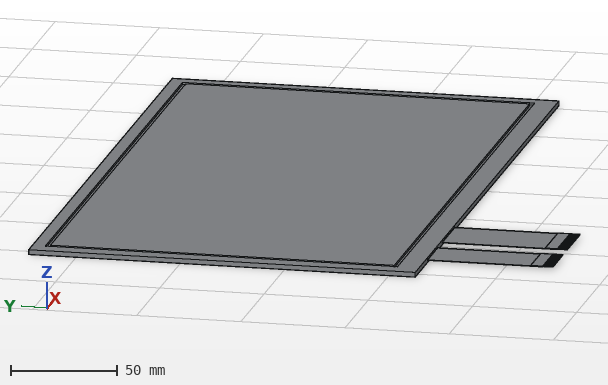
import cadquery as cq

panel_width = 311.2
panel_depth = 185.5
panel_thickness = 2.35

groove_side_left = 8.0
groove_side_right = 6.2
groove_back = 6.2
groove_front = 10.3
groove_width = 2.02
groove_depth = 1.1

overall_depth = 245.5
tail_length = overall_depth - panel_depth
film_top = 1.4
film_thickness = 0.12
cover_thickness = 0.15
stiffener_thickness = 0.2
stiffener_length = 10.5
contact_length = 5.0
contact_thickness = 0.05
contact_pitch = 1.0
film_bottom = film_top - film_thickness

tail_edges = [
    (26.5, 26.8, 48.5),
    (58.2, 58.2, 85.5),
]


def block(x_min, x_max, y_min, y_max, z_min, z_max):
    """Rectangular block between the given limits."""
    size = (x_max - x_min, y_max - y_min, z_max - z_min)
    return cq.Workplane("XY").box(*size, centered=False).translate((x_min, y_min, z_min))


def make_panel():
    """Flat panel with the framing groove cut into its top face."""
    left = groove_side_left
    right = panel_width - groove_side_right
    front = groove_front
    back = panel_depth - groove_back
    floor = panel_thickness - groove_depth
    outer = block(left, right, front, back, floor, panel_thickness)
    island = block(
        left + groove_width,
        right - groove_width,
        front + groove_width,
        back - groove_width,
        floor,
        panel_thickness,
    )
    panel = block(0, panel_width, 0, panel_depth, 0, panel_thickness)
    return panel.cut(outer.cut(island))


def make_contacts(left, right):
    """Row of thin contact fingers under the bare end of a tail."""
    finger_width = contact_pitch / 2
    count = int((right - left) / contact_pitch)
    tip = -tail_length
    center = ((left + right) / 2, tip + contact_length / 2, film_bottom)
    return (
        cq.Workplane("XY", origin=center)
        .rarray(contact_pitch, 3, count, 1)
        .rect(finger_width, contact_length)
        .extrude(-contact_thickness)
    )


def make_tail(root_left, tip_left, right):
    """Film tail with its cover layer, end stiffener and contacts."""
    tip = -tail_length
    outline = [(root_left, 0), (right, 0), (right, tip), (tip_left, tip)]
    bottom = film_bottom - cover_thickness
    tail = cq.Workplane("XY").workplane(offset=bottom).polyline(outline).close()
    tail = tail.extrude(film_top - bottom)
    bare_end = block(root_left, right, tip, tip + contact_length, bottom, film_bottom)
    stiffener_top = film_top + stiffener_thickness
    stiffener = block(tip_left, right, tip, tip + stiffener_length, film_top, stiffener_top)
    return tail.cut(bare_end).union(stiffener).union(make_contacts(tip_left, right))


result = make_panel()
for edges in tail_edges:
    result = result.union(make_tail(*edges))